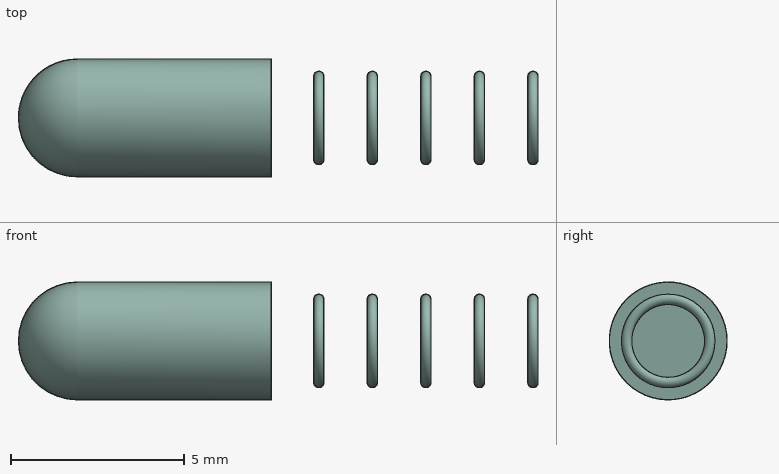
import cadquery as cq

total_length = 15.0
pin_diameter = 3.4
pin_length = 7.3
pin_radius = pin_diameter / 2

ring_count = 5
ring_outer_diameter = 2.7
wire_diameter = 0.3
ring_pitch = 1.55
wire_radius = wire_diameter / 2
ring_mean_radius = ring_outer_diameter / 2 - wire_radius
last_ring_x = total_length - wire_radius
first_ring_x = last_ring_x - (ring_count - 1) * ring_pitch


def make_pin():
    """Solid cylinder with a hemispherical nose at X = 0."""
    nose_offset = pin_radius * 0.5 ** 0.5
    half_profile = (
        cq.Workplane("XY")
        .moveTo(0, 0)
        .threePointArc((pin_radius - nose_offset, nose_offset), (pin_radius, pin_radius))
        .lineTo(pin_length, pin_radius)
        .lineTo(pin_length, 0)
        .close()
    )
    return half_profile.revolve(360, (0, 0, 0), (1, 0, 0))


def make_ring(center_x):
    """Round-wire ring around the X axis."""
    wire_section = cq.Workplane("XY").center(center_x, ring_mean_radius).circle(wire_radius)
    return wire_section.revolve(360, (0, -ring_mean_radius, 0), (1, -ring_mean_radius, 0))


pin = make_pin()
rings = [make_ring(first_ring_x + i * ring_pitch) for i in range(ring_count)]

result = cq.Compound.makeCompound([pin.val(), *[ring.val() for ring in rings]])